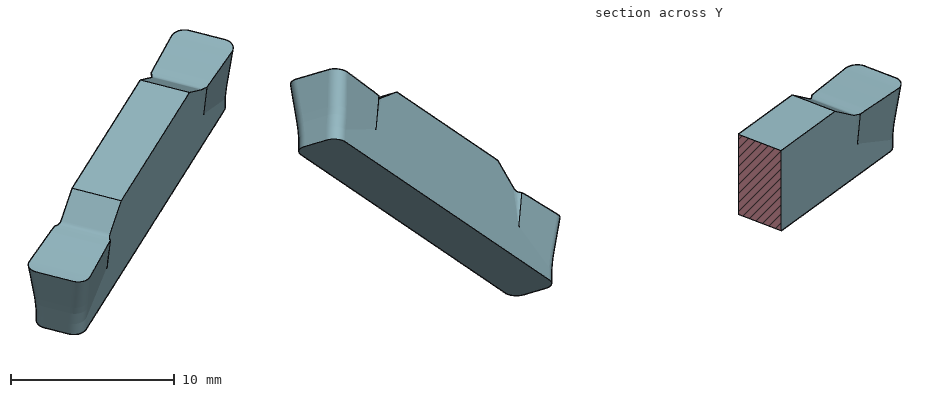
import cadquery as cq
import math

BODY_WIDTH = 3.24
BODY_HEIGHT = 5.79
BRIDGE_HALF_LENGTH = 5.6
RAMP_FOOT_Y = 7.42
RAMP_FOOT_Z = 4.6

TIP_WIDTH = 4.0
TIP_Y = 12.505
LIP_Z = 4.57
CORNER_RADIUS = 0.82
BACK_TAPER = math.radians(2.4)
HEAD_ROOT_Y = 7.98
FLANK_FOOT_Z = 0.83

RELIEF_ANGLE = math.radians(7.1)
BAND_ANGLE = math.radians(5.5)
HEEL_TOP_Z = 1.66
BAND_TOP_Z = 2.19

SEAT_Z = 4.52
STEP_DEPTH = 0.02
LAND_RISE = 0.005
RAMP_FILLET_END_Y = 7.72
STEP_FOOT_Y = 8.02
STEP_TOP_Y = 8.48
STEP_EDGE_WIDTH = 0.07
STEP_EDGE_DROP = 0.002
GROOVE_Y = 9.97
LAND_Y = 10.96
LIP_START_Y = 11.64

FLARE_ANGLE = math.radians(45)
FLARE_MIN_STEP = 0.003
FLARE_LAND_LENGTH = 0.06

BODY_HALF_WIDTH = BODY_WIDTH / 2
TRIM_ALLOWANCE = 0.08
HEAD_BLANK_TOP_Z = LIP_Z + TRIM_ALLOWANCE


def end_y(z):
    """Distance of the end face from the middle of the part at height z."""
    full_relief = (max(z, BAND_TOP_Z) - LIP_Z) * math.tan(RELIEF_ANGLE)
    below_band_top = BAND_TOP_Z - min(max(z, HEEL_TOP_Z), BAND_TOP_Z)
    return TIP_Y + full_relief - below_band_top * math.tan(BAND_ANGLE)


def flank_x(y, z):
    """Distance of the flank plane from the YZ plane; the flank is upright below its foot.

    The head is as wide as the body at the flank foot and reaches the tip width at the seat.
    """
    taper = math.tan(BACK_TAPER)
    foot_corner_y = end_y(FLANK_FOOT_Z) - CORNER_RADIUS
    seat_corner_y = end_y(SEAT_Z) - CORNER_RADIUS
    widening = TIP_WIDTH / 2 - BODY_HALF_WIDTH - taper * (seat_corner_y - foot_corner_y)
    slope = widening / (SEAT_Z - FLANK_FOOT_Z)
    foot_corner_x = BODY_HALF_WIDTH + CORNER_RADIUS * (1 / math.cos(BACK_TAPER) - 1)
    return foot_corner_x + taper * (y - foot_corner_y) + slope * max(z - FLANK_FOOT_Z, 0)


def root_half_width(z):
    """Half width of the head at its inner end at height z."""
    return flank_x(HEAD_ROOT_Y, z)


def corner_center(z):
    """Center of the rounded corner on the +X side at height z."""
    center_y = end_y(z) - CORNER_RADIUS
    return flank_x(center_y, z) - CORNER_RADIUS / math.cos(BACK_TAPER), center_y


def head_section(z):
    """Closed outline of the +Y head at height z: tapered flanks, rounded corners, flat end."""
    center_x, center_y = corner_center(z)

    def corner_point(angle):
        return (center_x + CORNER_RADIUS * math.cos(angle), center_y + CORNER_RADIUS * math.sin(angle))

    def mirrored(point):
        return (-point[0], point[1])

    root = (root_half_width(z), HEAD_ROOT_Y)
    flank_end = corner_point(-BACK_TAPER)
    corner_middle = corner_point((math.pi / 2 - BACK_TAPER) / 2)
    end_start = corner_point(math.pi / 2)
    outline = (
        cq.Workplane("XY", origin=(0, 0, z))
        .moveTo(*root)
        .lineTo(*flank_end)
        .threePointArc(corner_middle, end_start)
        .lineTo(*mirrored(end_start))
        .threePointArc(mirrored(corner_middle), mirrored(flank_end))
        .lineTo(*mirrored(root))
        .close()
    )
    return outline.val()


def flare_section(z):
    """Closed outline of the flare at height z: short lands, then arcs tangent to the body sides."""
    arc_start_y = HEAD_ROOT_Y - FLARE_LAND_LENGTH
    half_width = root_half_width(z)
    radius = (half_width - BODY_HALF_WIDTH) / (1 - math.cos(FLARE_ANGLE))
    foot_y = arc_start_y - radius * math.sin(FLARE_ANGLE)
    middle_x = BODY_HALF_WIDTH + radius * (1 - math.cos(FLARE_ANGLE / 2))
    middle_y = foot_y + radius * math.sin(FLARE_ANGLE / 2)
    outline = (
        cq.Workplane("XY", origin=(0, 0, z))
        .moveTo(BODY_HALF_WIDTH, foot_y)
        .threePointArc((middle_x, middle_y), (half_width, arc_start_y))
        .lineTo(half_width, HEAD_ROOT_Y)
        .lineTo(-half_width, HEAD_ROOT_Y)
        .lineTo(-half_width, arc_start_y)
        .threePointArc((-middle_x, middle_y), (-BODY_HALF_WIDTH, foot_y))
        .close()
    )
    return outline.val()


def ruled_loft(section, levels):
    """Solid with straight sides between the given section taken at each level."""
    return cq.Workplane(obj=cq.Solid.makeLoft([section(z) for z in levels], True))


def head_blank():
    """Untrimmed +Y head."""
    levels = [0, FLANK_FOOT_Z, HEEL_TOP_Z, BAND_TOP_Z, HEAD_BLANK_TOP_Z]
    return ruled_loft(head_section, levels)


def flare_blank():
    """Untrimmed +Y flare, starting just above where the flank meets the body side."""
    top_step = root_half_width(HEAD_BLANK_TOP_Z) - BODY_HALF_WIDTH
    band_step = root_half_width(BAND_TOP_Z) - BODY_HALF_WIDTH
    step_per_height = (top_step - band_step) / (HEAD_BLANK_TOP_Z - BAND_TOP_Z)
    start_z = HEAD_BLANK_TOP_Z - (top_step - FLARE_MIN_STEP) / step_per_height
    return ruled_loft(flare_section, [start_z, HEAD_BLANK_TOP_Z])


def body_bar():
    """Straight bar between the corner roundings of the two ends."""
    half_length = corner_center(0)[1]
    return cq.Workplane("XY").box(BODY_WIDTH, 2 * half_length, BODY_HEIGHT, centered=(True, True, False))


def side_profile():
    """Half of the side outline, from the middle to the +Y tip, extruded across the width."""
    step_z = SEAT_Z - STEP_DEPTH
    lip_length = TIP_Y - LIP_START_Y
    lip_rise = LIP_Z - SEAT_Z
    ramp_angle = math.atan2(BODY_HEIGHT - RAMP_FOOT_Z, RAMP_FOOT_Y - BRIDGE_HALF_LENGTH)
    ramp_slope = (math.cos(ramp_angle), -math.sin(ramp_angle))
    level_direction = (1, 0)
    lip_direction = (lip_length, 2 * lip_rise)
    profile = (
        cq.Workplane("YZ", origin=(-TIP_WIDTH, 0, 0))
        .moveTo(0, 0)
        .lineTo(0, BODY_HEIGHT)
        .lineTo(BRIDGE_HALF_LENGTH, BODY_HEIGHT)
        .lineTo(RAMP_FOOT_Y, RAMP_FOOT_Z)
        .spline([(RAMP_FILLET_END_Y, step_z)], tangents=[ramp_slope, level_direction], includeCurrent=True)
        .lineTo(STEP_FOOT_Y, step_z)
        .lineTo(STEP_TOP_Y, SEAT_Z - STEP_EDGE_DROP)
        .lineTo(STEP_TOP_Y + STEP_EDGE_WIDTH, SEAT_Z)
        .lineTo(GROOVE_Y, SEAT_Z - LAND_RISE)
        .lineTo(LAND_Y, SEAT_Z)
        .lineTo(LIP_START_Y, SEAT_Z)
        .spline([(TIP_Y, LIP_Z)], tangents=[level_direction, lip_direction], includeCurrent=True)
        .lineTo(TIP_Y, 0)
        .close()
    )
    return profile.extrude(2 * TIP_WIDTH)


half_insert = body_bar().union(head_blank()).union(flare_blank()).intersect(side_profile())
result = half_insert.union(half_insert.mirror("XZ")).clean()